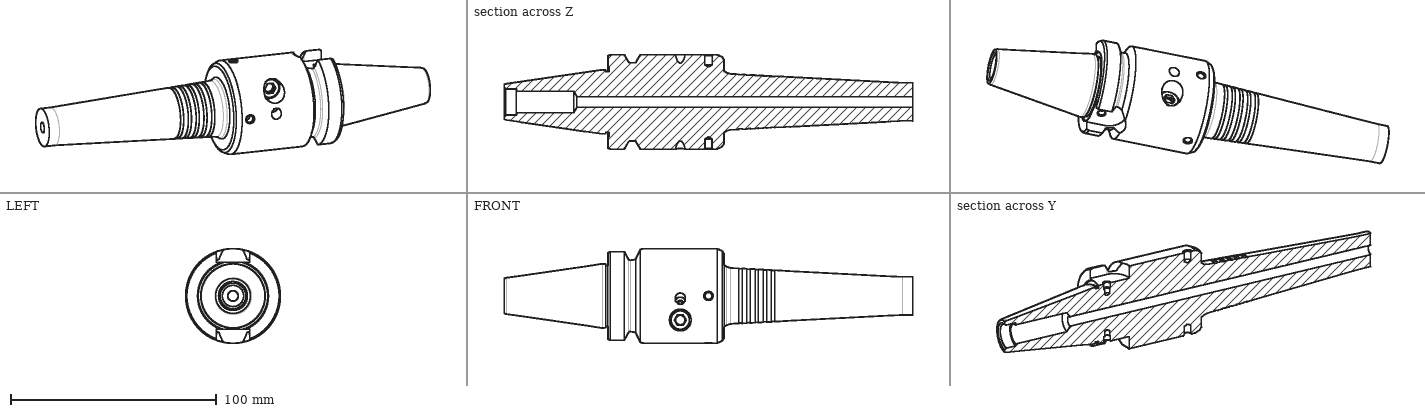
import cadquery as cq
import math


TOTAL_LENGTH = 198.4
BODY_R = 23.0

TAPER_SLOPE = 7 / 48
SHANK_TIP_R = 8.7
SHANK_EDGE_LENGTH = 1.0
SHANK_EDGE_DEPTH = 0.4
TAPER_END_X = 47.6
LIP_END_X = 49.5
LIP_END_R = 15.5
UNDERCUT_R = 14.9

FLANGE_X = 50.4
FLANGE_CHAMFER_LENGTH = 1.2
FLANGE_CHAMFER_DEPTH = 0.5
FACE_RECESS_R = 17.3
FACE_RECESS_DEPTH = 0.4
V_START_X = 58.3
V_END_X = 66.0
V_BOTTOM_R = 19.0
V_ROOT_FILLET = 1.0
V_SIDE_ANGLE = 30.0
V_SIDE_LENGTH = (BODY_R - V_BOTTOM_R) * math.tan(math.radians(V_SIDE_ANGLE))

BODY_END_X = 106.7
EDGE_START_X = 103.4
EDGE_BREAK_X = 106.0
EDGE_BREAK_R = 21.8
EDGE_END_R = 20.5

NOSE_ROOT_R = 15.0
NOSE_ROOT_MID_X = 108.0
NOSE_ROOT_MID_R = 14.3
NOSE_TAPER_X = 109.7
NOSE_TIP_R = 9.3
NOSE_TIP_LENGTH = 5.2
NOSE_ANGLE = 3.0
NOSE_TIP_X = TOTAL_LENGTH - NOSE_TIP_LENGTH

GROOVE_COUNT = 5
GROOVE_X = 113.9
GROOVE_PITCH = 4.0
GROOVE_WIDTH = 1.5
GROOVE_DEPTH = 0.2

COOLANT_D = 5.0
STUD_PILOT_D = 12.5
STUD_PILOT_DEPTH = 6.0
STUD_BORE_D = 10.3
STUD_BORE_DEPTH = 33.7
STUD_MOUTH_CHAMFER = 0.8

DRILL_POINT_ANGLE = 118.0
DRILL_OVERRUN = 2.0

SLOT_WIDTH = 16.0
SLOT_FLOOR = 16.3
SLOT_END_X = 67.5
SLOT_HOLE_X = 55.5
SLOT_HOLE_D = 3.4
SLOT_HOLE_MOUTH_D = 4.2
SLOT_HOLE_DEPTH = 3.0
PILOT_D = 2.4
PILOT_LENGTH = 3.0

BALANCE_X = 99.2
BALANCE_D = 3.4
BALANCE_MOUTH_D = 4.5
BALANCE_DEPTH = 5.0

SCREW_X = 85.5
SCREW_OFFSET = 11.7
SCREW_POCKET_D = 10.5
SCREW_FACE_Y = 12.9
SCREW_RIM_D = 9.0
SCREW_RIM_DEPTH = 1.5
SCREW_HEX_SIZE = 5.0
SCREW_HEX_BORE_D = 4.5
SCREW_HEX_DEPTH = 1.0
VENT_D = 5.0
VENT_OFFSET = 1.2
VENT_ANGLE = 20.0
VENT_DEPTH = 5.0

SELECT_MARGIN = 0.2

DOWN = (0, 0, -1)
INWARD = (0, 1, 0)


def nose_radius(x):
    return NOSE_TIP_R + (NOSE_TIP_X - x) * math.tan(math.radians(NOSE_ANGLE))


def turned(outline):
    """Revolve an (x, radius) outline about the X axis."""
    return cq.Workplane("XY").polyline(outline).close().revolve(360, (0, 0, 0), (1, 0, 0))


def point_length(diameter):
    return diameter / 2 / math.tan(math.radians(DRILL_POINT_ANGLE / 2))


def drilled(diameter, depth, mouth_diameter, start, direction):
    """Hole square to X with a 45 degree mouth and a conical point, drilled from a start point."""
    radius = diameter / 2
    mouth = (mouth_diameter - diameter) / 2
    outline = [(-DRILL_OVERRUN, 0), (-DRILL_OVERRUN, radius + mouth), (0, radius + mouth)]
    if mouth > 0:
        outline.append((mouth, radius))
    outline += [(depth, radius), (depth + point_length(diameter), 0)]
    placing = cq.Plane(start, xDir=direction, normal=(1, 0, 0))
    return turned(outline).val().moved(placing.location)


def holder_blank():
    taper_end_r = SHANK_TIP_R + TAPER_END_X * TAPER_SLOPE
    chamfer_r = SHANK_TIP_R + SHANK_EDGE_LENGTH * TAPER_SLOPE
    blank = turned([
        (0, 0),
        (0, chamfer_r - SHANK_EDGE_DEPTH),
        (SHANK_EDGE_LENGTH, chamfer_r),
        (TAPER_END_X, taper_end_r),
        (LIP_END_X, LIP_END_R),
        (LIP_END_X, UNDERCUT_R),
        (FLANGE_X + FACE_RECESS_DEPTH, UNDERCUT_R),
        (FLANGE_X + FACE_RECESS_DEPTH, FACE_RECESS_R - FACE_RECESS_DEPTH),
        (FLANGE_X, FACE_RECESS_R),
        (FLANGE_X, BODY_R - FLANGE_CHAMFER_DEPTH),
        (FLANGE_X + FLANGE_CHAMFER_LENGTH, BODY_R),
        (V_START_X, BODY_R),
        (V_START_X + V_SIDE_LENGTH, V_BOTTOM_R),
        (V_END_X - V_SIDE_LENGTH, V_BOTTOM_R),
        (V_END_X, BODY_R),
        (EDGE_START_X, BODY_R),
        (EDGE_BREAK_X, EDGE_BREAK_R),
        (BODY_END_X, EDGE_END_R),
        (BODY_END_X, NOSE_ROOT_R),
        (NOSE_ROOT_MID_X, NOSE_ROOT_MID_R),
        (NOSE_TAPER_X, nose_radius(NOSE_TAPER_X)),
        (NOSE_TIP_X, NOSE_TIP_R),
        (TOTAL_LENGTH, NOSE_TIP_R),
        (TOTAL_LENGTH, 0),
    ])
    v_root_x = V_START_X + V_SIDE_LENGTH
    v_root = cq.selectors.BoxSelector(
        (v_root_x - SELECT_MARGIN, -BODY_R, -BODY_R), (v_root_x + SELECT_MARGIN, BODY_R, BODY_R), boundingbox=True
    )
    return blank.edges(v_root).fillet(V_ROOT_FILLET)


def nose_grooves():
    rings = []
    for i in range(GROOVE_COUNT):
        start = GROOVE_X + i * GROOVE_PITCH
        end = start + GROOVE_WIDTH
        rings.append(turned([
            (start, nose_radius(start) - GROOVE_DEPTH),
            (start, BODY_R),
            (end, BODY_R),
            (end, nose_radius(end) - GROOVE_DEPTH),
        ]).val())
    return rings


def centre_bore():
    pilot_r = STUD_PILOT_D / 2
    bore_r = STUD_BORE_D / 2
    coolant_r = COOLANT_D / 2
    return turned([
        (0, 0),
        (0, pilot_r + STUD_MOUTH_CHAMFER),
        (STUD_MOUTH_CHAMFER, pilot_r),
        (STUD_PILOT_DEPTH, pilot_r),
        (STUD_PILOT_DEPTH, bore_r),
        (STUD_BORE_DEPTH, bore_r),
        (STUD_BORE_DEPTH + point_length(STUD_BORE_D) - point_length(COOLANT_D), coolant_r),
        (TOTAL_LENGTH, coolant_r),
        (TOTAL_LENGTH, 0),
    ]).val()


def drive_slot():
    end_r = SLOT_WIDTH / 2
    centre_x = SLOT_END_X - end_r
    return (
        cq.Workplane("XY", origin=(0, 0, SLOT_FLOOR))
        .moveTo(LIP_END_X, -end_r)
        .lineTo(centre_x, -end_r)
        .threePointArc((SLOT_END_X, 0), (centre_x, end_r))
        .lineTo(LIP_END_X, end_r)
        .close()
        .extrude(BODY_R)
        .val()
    )


def screw_pocket():
    """Pocket down to a clamping screw with a chamfered rim and a hexagon socket."""
    screw_centre = (SCREW_X, -SCREW_FACE_Y, -SCREW_OFFSET)
    face = cq.Workplane("XZ", origin=screw_centre)
    pocket = face.circle(SCREW_POCKET_D / 2).extrude(BODY_R)
    screw_end = (
        face.circle(SCREW_POCKET_D / 2)
        .extrude(SCREW_RIM_DEPTH)
        .faces("<Y")
        .chamfer(SCREW_RIM_DEPTH / 2, (SCREW_POCKET_D - SCREW_RIM_D) / 2)
    )
    hexagon = face.polygon(6, SCREW_HEX_SIZE / math.cos(math.pi / 6)).extrude(2 * SCREW_RIM_DEPTH)
    socket = drilled(
        SCREW_HEX_BORE_D, SCREW_HEX_DEPTH, SCREW_HEX_BORE_D, screw_centre, INWARD
    )
    return pocket.cut(screw_end).union(hexagon).union(cq.Workplane(socket)).val()


vent_tilt = math.radians(VENT_ANGLE)
vent_direction = (0, math.cos(vent_tilt), -math.sin(vent_tilt))
vent_start = (SCREW_X, -BODY_R, -VENT_OFFSET)
slot_hole_start = (SLOT_HOLE_X, 0, SLOT_FLOOR)

paired_cuts = [
    drive_slot(),
    drilled(SLOT_HOLE_D, SLOT_HOLE_DEPTH, SLOT_HOLE_MOUTH_D, slot_hole_start, DOWN),
    drilled(PILOT_D, SLOT_HOLE_DEPTH + PILOT_LENGTH, PILOT_D, slot_hole_start, DOWN),
    screw_pocket(),
    drilled(BALANCE_D, BALANCE_DEPTH, BALANCE_MOUTH_D, (BALANCE_X, 0, BODY_R), DOWN),
    drilled(BALANCE_D, BALANCE_DEPTH, BALANCE_MOUTH_D, (BALANCE_X, -BODY_R, 0), INWARD),
    drilled(VENT_D, VENT_DEPTH, VENT_D, vent_start, vent_direction),
    drilled(PILOT_D, VENT_DEPTH + PILOT_LENGTH, PILOT_D, vent_start, vent_direction),
]

result = holder_blank().cut(cq.Workplane(centre_bore()))
for groove in nose_grooves():
    result = result.cut(cq.Workplane(groove))
for cut in paired_cuts:
    opposite_cut = cut.rotate(cq.Vector(), cq.Vector(1, 0, 0), 180)
    result = result.cut(cq.Workplane(cut)).cut(cq.Workplane(opposite_cut))